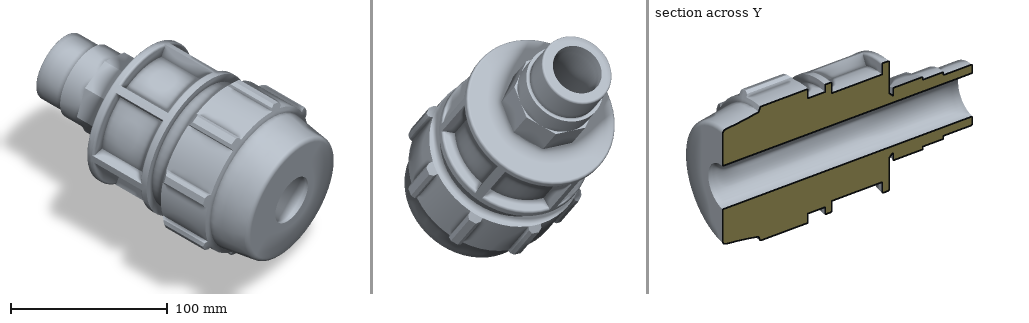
import cadquery as cq
import math


SPIGOT_END = 22.0
OCTAGON_START = 37.4
OCTAGON_END = 60.3
BODY_START = 63.0
GROOVE_START = 68.9
GROOVE_END = 106.7
BODY_END = 112.2
NUT_START = 125.0
NUT_SHOULDER = 161.4
SLEEVE_START = 162.7
LENGTH = 190.0

BORE_RADIUS = 33.46 / 2
SPIGOT_RADIUS = 47.8 / 2
COLLAR_RADIUS = 52.58 / 2
NECK_START_RADIUS = 22.3
NECK_END_RADIUS = 25.3
FLANGE_RADIUS = 101.7 / 2
GROOVE_RADIUS = 42.2
BARREL_RADIUS = 90.4 / 2
NUT_RADIUS = 52.5
SLEEVE_START_RADIUS = 48.8
SLEEVE_END_RADIUS = 44.6

SPIGOT_EDGE = 1.3
FLANGE_EDGE = 1.5
SLEEVE_EDGE = 3.0

OCTAGON_SIDES = 8
OCTAGON_RADIUS = COLLAR_RADIUS / math.cos(math.pi / OCTAGON_SIDES)

BODY_RIB_COUNT = 6
BODY_RIB_WIDTH = 5.6

GRIP_COUNT = 8
GRIP_PITCH = 360 / GRIP_COUNT
GRIP_WIDTH = 9.0
GRIP_CHAMFER = 2.0
GRIP_RAMP = 3.3
OVERALL_HEIGHT = 106.32
GRIP_CREST_HALF = GRIP_WIDTH / 2 - GRIP_CHAMFER
GRIP_TILT = math.radians(GRIP_PITCH / 2)
GRIP_RADIUS = (OVERALL_HEIGHT / 2 - GRIP_CREST_HALF * math.sin(GRIP_TILT)) / math.cos(GRIP_TILT)


def revolve_about_x(profile):
    """Turn a closed (axial, radial) outline about the X axis."""
    return profile.close().revolve(360, (0, 0, 0), (1, 0, 0))


def cylinder(start, end, radius):
    return cq.Workplane("YZ").workplane(offset=start).circle(radius).extrude(end - start)


def spigot():
    end_section = cylinder(0, SPIGOT_END, SPIGOT_RADIUS).faces("<X").edges().fillet(SPIGOT_EDGE)
    collar = cylinder(SPIGOT_END, OCTAGON_START, COLLAR_RADIUS)
    return end_section.union(collar)


def wrench_section():
    octagon = cq.Workplane("YZ").workplane(offset=OCTAGON_START).polygon(OCTAGON_SIDES, 2 * OCTAGON_RADIUS)
    return octagon.extrude(OCTAGON_END - OCTAGON_START)


def neck():
    profile = (
        cq.Workplane("XY")
        .moveTo(OCTAGON_END, 0)
        .lineTo(OCTAGON_END, NECK_START_RADIUS)
        .lineTo(BODY_START, NECK_END_RADIUS)
        .lineTo(BODY_START, 0)
    )
    return revolve_about_x(profile)


def body():
    front_flange = cylinder(BODY_START, GROOVE_START, FLANGE_RADIUS).edges().fillet(FLANGE_EDGE)
    rear_flange = cylinder(GROOVE_END, BODY_END, FLANGE_RADIUS).faces("<X").edges().fillet(FLANGE_EDGE)
    core = cylinder(GROOVE_START, GROOVE_END, GROOVE_RADIUS)
    barrel = cylinder(BODY_END, NUT_START, BARREL_RADIUS)
    return front_flange.union(core).union(rear_flange).union(barrel).union(body_ribs())


def body_ribs():
    start = GROOVE_START - FLANGE_EDGE
    length = GROOVE_END + FLANGE_EDGE - start
    bar = (
        cq.Workplane("YZ")
        .workplane(offset=start)
        .rect(2 * FLANGE_RADIUS + BODY_RIB_WIDTH, BODY_RIB_WIDTH)
        .extrude(length)
    )
    bars = bar
    for index in range(1, BODY_RIB_COUNT // 2):
        bars = bars.union(bar.rotate((0, 0, 0), (1, 0, 0), index * 360 / BODY_RIB_COUNT))
    return bars.intersect(cylinder(start, start + length, FLANGE_RADIUS))


def nut():
    ring = cylinder(NUT_START, SLEEVE_START, NUT_RADIUS).union(grip_ribs())
    return ring.intersect(shoulder_envelope()).union(sleeve())


def shoulder_envelope():
    """Solid whose rear cone bevels the nut ring and the grip ribs alike."""
    bevel_slope = (NUT_RADIUS - SLEEVE_START_RADIUS) / (SLEEVE_START - NUT_SHOULDER)
    front_radius = SLEEVE_START_RADIUS + bevel_slope * (SLEEVE_START - NUT_START)
    profile = (
        cq.Workplane("XY")
        .moveTo(NUT_START, 0)
        .lineTo(NUT_START, front_radius)
        .lineTo(SLEEVE_START, SLEEVE_START_RADIUS)
        .lineTo(SLEEVE_START, 0)
    )
    return revolve_about_x(profile)


def sleeve():
    profile = (
        cq.Workplane("XY")
        .moveTo(SLEEVE_START, 0)
        .lineTo(SLEEVE_START, SLEEVE_START_RADIUS)
        .lineTo(LENGTH, SLEEVE_END_RADIUS)
        .lineTo(LENGTH, 0)
    )
    return revolve_about_x(profile).faces(">X").edges().fillet(SLEEVE_EDGE)


def grip_ribs():
    """Bars with chamfered crests that ramp up from the nut surface at the front."""
    half = GRIP_WIDTH / 2
    bar = (
        cq.Workplane("YZ")
        .workplane(offset=NUT_START)
        .polyline([
            (-half, 0),
            (-half, GRIP_RADIUS - GRIP_CHAMFER),
            (-GRIP_CREST_HALF, GRIP_RADIUS),
            (GRIP_CREST_HALF, GRIP_RADIUS),
            (half, GRIP_RADIUS - GRIP_CHAMFER),
            (half, 0),
        ])
        .close()
        .extrude(SLEEVE_START - NUT_START)
    )
    crest_radius = math.hypot(GRIP_RADIUS, GRIP_CREST_HALF)
    ramp_slope = (crest_radius - NUT_RADIUS) / GRIP_RAMP
    ramp = revolve_about_x(
        cq.Workplane("XY")
        .moveTo(NUT_START, 0)
        .lineTo(NUT_START, NUT_RADIUS)
        .lineTo(SLEEVE_START, NUT_RADIUS + ramp_slope * (SLEEVE_START - NUT_START))
        .lineTo(SLEEVE_START, 0)
    )
    grip = bar.intersect(ramp)
    ribs = cq.Workplane("XY")
    for index in range(GRIP_COUNT):
        ribs = ribs.union(grip.rotate((0, 0, 0), (1, 0, 0), (index + 0.5) * GRIP_PITCH))
    return ribs


def coupling():
    solid = spigot().union(wrench_section()).union(neck()).union(body()).union(nut())
    return solid.cut(cylinder(0, LENGTH, BORE_RADIUS))


result = coupling()